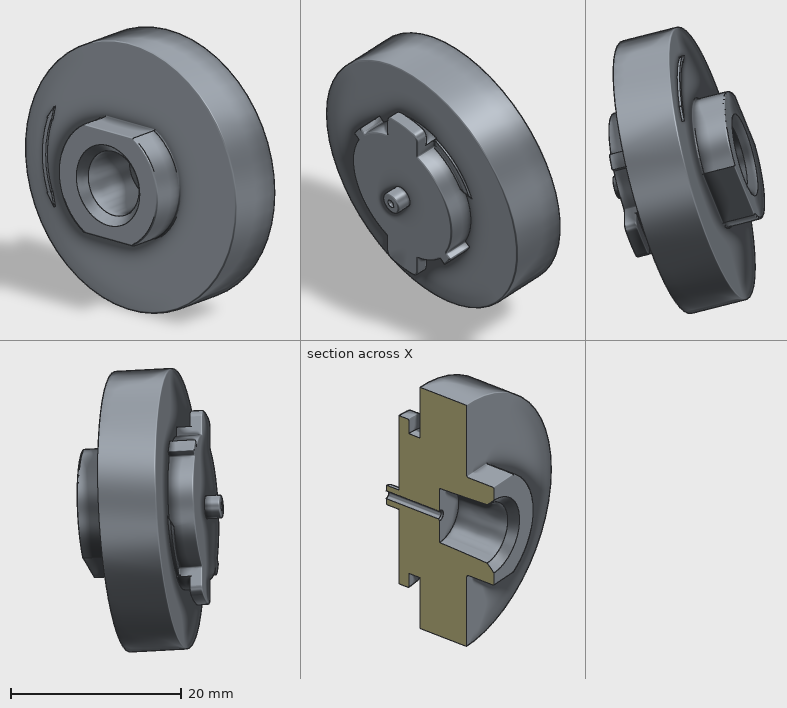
import cadquery as cq
import math

edge_round = 0.2
tolerance = 0.003

disk_radius = 16.5
disk_thickness = 7.0
disk_back = disk_thickness

boss_radius = 7.72
boss_height = 4.0
boss_flat_height = 6.7

countersink_radius = 4.95
bore_radius = 3.95
bore_floor_radius = 3.65
countersink_depth = countersink_radius - bore_radius
bore_depth = 8.0

hub_radius = 8.5
hub_height = 3.1
hub_back = disk_back + hub_height
neck_radius = 9.57
lug_radius = 11.52
lug_thickness = 1.55
lug_half_width = 2.6
lug_corner_radius = 1.0

rib_radius = 9.4
rib_start_angle = 28.0
rib_end_angle = 40.1
rib_edge_round = 0.1
ledge_radius = rib_radius
ledge_height = 0.3
ledge_ramp_low = 3.63
ledge_ramp_high = 4.15

pin_radius = 1.35
pin_height = 1.8
hole_radius = 0.5
hole_mouth_radius = 0.7

arrow_height = 0.3
arrow_radius = 13.23
arrow_half_width = 0.25
arrow_head_half_width = 0.35
arrow_neck_angle = 20.0
arrow_tip_angle = 28.0


def plate(y_start):
    """Sketch plane across the knob axis at the given Y; extrude(-length) goes toward +Y."""
    return cq.Workplane("XZ", origin=(0, y_start, 0))


def cylinder(radius, y_start, length):
    return plate(y_start).circle(radius).extrude(-length)


def polar(radius, angle):
    """Point in the X-Z plane, angle in degrees from +X toward +Z."""
    radians = math.radians(angle)
    return (radius * math.cos(radians), radius * math.sin(radians))


def half_turn(shape):
    """Copy of the shape turned 180 degrees about the knob axis."""
    return shape.rotate((0, 0, 0), (0, 1, 0), 180)


def make_disk():
    return cylinder(disk_radius, 0, disk_thickness).edges().fillet(edge_round)


def make_boss_blank():
    blank = cylinder(boss_radius, -boss_height, boss_height)
    flats = plate(-boss_height).rect(2 * boss_radius, 2 * boss_flat_height).extrude(-boss_height)
    return blank.intersect(flats)


def add_boss(body):
    boss = make_boss_blank()
    boss = boss.faces("<Y").edges().fillet(edge_round)
    foot_reach = boss_radius + 0.33
    foot_zone = cq.selectors.BoxSelector(
        (-foot_reach, -tolerance, -foot_reach),
        (foot_reach, tolerance, foot_reach),
        boundingbox=True,
    )
    return body.union(boss).edges(foot_zone).fillet(edge_round)


def make_lug_block(radius, length):
    """Upper slice of a cylinder as wide as the lug, ending at the back of the hub."""
    start = hub_back - length
    band = plate(start).center(0, radius / 2).rect(2 * lug_half_width, radius).extrude(-length)
    return cylinder(radius, start, length).intersect(band)


def make_lug():
    """Upper lug: a neck down to the disk carrying a tab that reaches further out at the back."""
    tab = make_lug_block(lug_radius, lug_thickness)
    beyond_neck = cq.selectors.BoxSelector(
        (-lug_radius, disk_back, neck_radius),
        (lug_radius, hub_back, lug_radius),
    )
    tab = tab.edges("|Y").edges(beyond_neck).fillet(lug_corner_radius)
    tab = tab.faces("<Y").edges(beyond_neck).fillet(edge_round)
    return make_lug_block(neck_radius, hub_height).union(tab)


def make_rib():
    middle_angle = (rib_start_angle + rib_end_angle) / 2
    leading_x, leading_z = polar(rib_radius, rib_start_angle)
    leading_point = (leading_x, disk_back + hub_height / 2, leading_z)
    inner_radius = hub_radius - 0.33
    rib = (
        plate(disk_back)
        .moveTo(*polar(inner_radius, rib_start_angle))
        .lineTo(*polar(rib_radius, rib_start_angle))
        .threePointArc(polar(rib_radius, middle_angle), polar(rib_radius, rib_end_angle))
        .lineTo(*polar(inner_radius, rib_end_angle))
        .close()
        .extrude(-hub_height)
    )
    leading_edge = cq.selectors.NearestToPointSelector(leading_point)
    return rib.edges(leading_edge).fillet(rib_edge_round)


def make_ledge():
    """Thin quarter ledge on the disk, running from the upper lug to a ramp on the -X side."""
    ramp = (
        cq.Workplane("YZ")
        .polyline([
            (disk_back, ledge_ramp_low),
            (disk_back + ledge_height, ledge_ramp_high),
            (disk_back + ledge_height, ledge_radius),
            (disk_back, ledge_radius),
        ])
        .close()
        .extrude(-ledge_radius)
    )
    return cylinder(ledge_radius, disk_back, ledge_height).intersect(ramp)


def is_on_hub_wall(edge):
    middle = edge.Center()
    return abs(math.hypot(middle.x, middle.z) - hub_radius) < tolerance


def is_ledge_root(edge):
    """True where the ledge top meets the hub wall, the lug side or the round between them."""
    middle = edge.Center()
    if abs(middle.y - (disk_back + ledge_height)) > tolerance:
        return False
    if edge.geomType() == "CIRCLE":
        return edge.radius() < ledge_radius - tolerance
    return abs(abs(middle.x) - lug_half_width) < tolerance


def make_hub():
    hub = cylinder(hub_radius, disk_back, hub_height)
    for feature in (make_lug(), make_rib()):
        hub = hub.union(feature).union(half_turn(feature))
    hub = hub.edges("|Y").filter(is_on_hub_wall).fillet(edge_round)
    hub = hub.faces(">Y").edges().fillet(edge_round)
    ledge = make_ledge()
    hub = hub.union(ledge).union(half_turn(ledge))
    return hub.edges().filter(is_ledge_root).fillet(edge_round)


def make_pin():
    pin = cylinder(pin_radius, hub_back, pin_height)
    return pin.faces(">Y").edges().fillet(edge_round)


def make_bore():
    """Countersink, tapered blind bore and center hole as one turned cutter."""
    front = -boss_height
    floor = front + bore_depth
    mouth_depth = hole_mouth_radius - hole_radius
    back = hub_back + pin_height
    return (
        cq.Workplane("XY")
        .polyline([
            (0, front),
            (countersink_radius, front),
            (bore_radius, front + countersink_depth),
            (bore_floor_radius, floor),
            (hole_mouth_radius, floor),
            (hole_radius, floor + mouth_depth),
            (hole_radius, back),
            (0, back),
        ])
        .close()
        .revolve(360, (0, 0, 0), (0, 1, 0))
    )


def make_arrow():
    """Curved double-headed arrow centered on the -X side of the disk face."""
    upper = 180 - arrow_neck_angle
    lower = 180 + arrow_neck_angle
    outer = arrow_radius + arrow_half_width
    inner = arrow_radius - arrow_half_width
    head_outer = arrow_radius + arrow_head_half_width
    head_inner = arrow_radius - arrow_head_half_width
    return (
        plate(-arrow_height)
        .moveTo(*polar(outer, upper))
        .threePointArc(polar(outer, 180), polar(outer, lower))
        .lineTo(*polar(head_outer, lower))
        .lineTo(*polar(arrow_radius, 180 + arrow_tip_angle))
        .lineTo(*polar(head_inner, lower))
        .lineTo(*polar(inner, lower))
        .threePointArc(polar(inner, 180), polar(inner, upper))
        .lineTo(*polar(head_inner, upper))
        .lineTo(*polar(arrow_radius, 180 - arrow_tip_angle))
        .lineTo(*polar(head_outer, upper))
        .close()
        .extrude(-arrow_height)
    )


result = add_boss(make_disk())
result = result.union(make_hub()).union(make_pin()).union(make_arrow())
result = result.cut(make_bore())